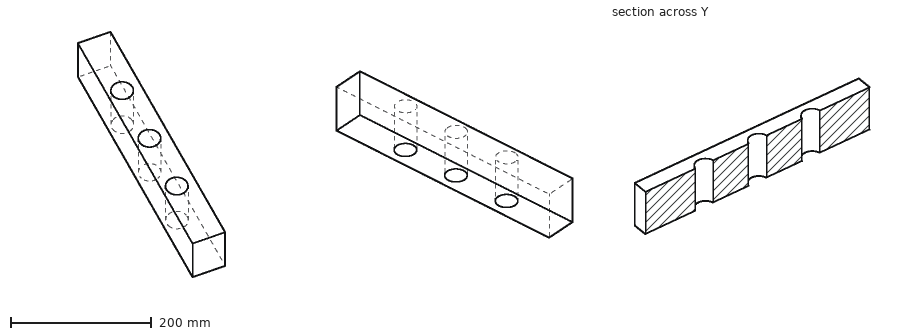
import cadquery as cq

length = 400
width = 51.0
height = 76.5

hole_diameter = 32
hole_spacing = 95.0
hole_count = 3
row_offset_y = -3.0

bar = cq.Workplane("XY").box(length, width, height)

result = (
    bar.faces(">Z")
    .workplane(origin=(0, row_offset_y, 0))
    .rarray(hole_spacing, 4, hole_count, 1)
    .hole(hole_diameter)
)